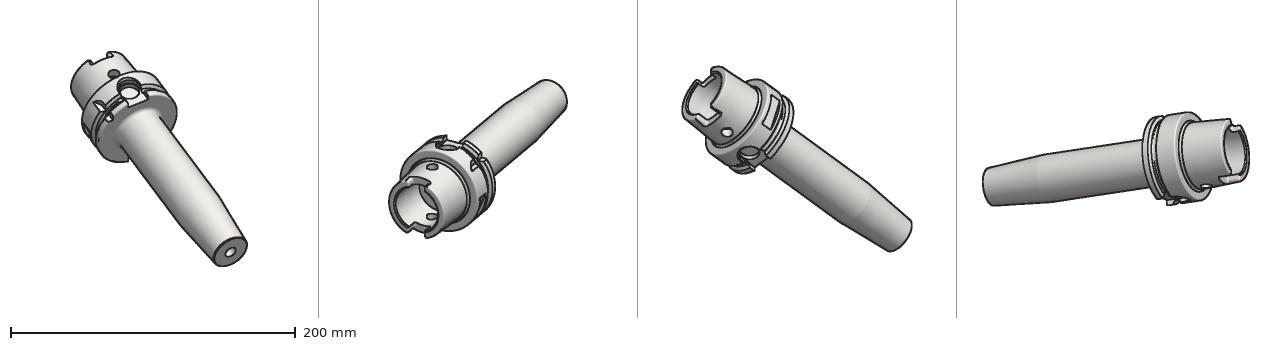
import cadquery as cq
import math


SHANK_LENGTH = 32.0
SHANK_ROOT_RADIUS = 24.0
SHANK_TAPER_SLOPE = 0.05
SHANK_END_ROUND = 1.0
UNDERCUT_WIDTH = 1.8
UNDERCUT_DEPTH = 0.3
UNDERCUT_CORNER_RADIUS = 0.7
UNDERCUT_FACE_DEPTH = 0.3
UNDERCUT_FACE_RADIUS = 25.4

FLANGE_RADIUS = 31.5
FLANGE_LENGTH = 26.0
FLANGE_EDGE_ROUND = 1.1
GROOVE_CENTRE = 17.95
GROOVE_BOTTOM_RADIUS = 27.5
GROOVE_WIDTH = 3.6
GROOVE_CORNER_RADIUS = 0.9
GROOVE_FLARE_RADIUS = 28.9
GROOVE_FLARE_ANGLE = 30.0

NOSE_END = 160.0
NOSE_RADIUS = 17.0
NOSE_ROOT_FILLET = 3.0
NOSE_TIP_RADIUS = 13.5
NOSE_TAPER_ANGLE = 4.5
NOSE_TIP_CHAMFER = 0.5

CAVITY_RADIUS = 17.0
CAVITY_CHAMFER = 1.0
CAVITY_STRAIGHT_DEPTH = 13.0
CAVITY_FLOOR_RADIUS = 15.7
CAVITY_FLOOR_X = 0.0
TUBE_BORE_RADIUS = 9.0
TUBE_BORE_DEPTH = 12.0
THROUGH_RADIUS = 4.2
THROUGH_CHAMFER = 0.6

CROSS_HOLE_RADIUS = 4.0
CROSS_HOLE_X = -9.2

DRIVER_SLOT_WIDTH = 12.54
UPPER_SLOT_DEPTH = 6.2
LOWER_SLOT_DEPTH = 9.6
SLOT_FLOOR_FILLET = 1.3
SLOT_EDGE_FILLET = 1.2
SLOT_FLARE_RADIUS = 2.3

KEYWAY_RADIUS = 8.0
KEYWAY_CENTRE_X = 13.0
KEYWAY_FLOOR = 26.5
KEYWAY_CHAMFER = 1.0
KEYWAY_CHAMFER_DEPTH = 2.0
KEYWAY_HOLE_RADIUS = 7.1
KEYWAY_HOLE_DEPTH = 3.5

NOTCH_FLOOR_Z = 19.9
NOTCH_WALL_Y = -20.2
NOTCH_CUTTER_RADIUS = 9.0
NOTCH_CUTTER_X = 12.3

FLAT_START_X = 3.5
FLAT_END_X = 11.8
FLAT_DISTANCE = 28.9
FLAT_ANGLE = 21.5


def shank_radius(x):
    """Outer radius of the taper shank at axial position x."""
    return SHANK_ROOT_RADIUS + SHANK_TAPER_SLOPE * x


def revolve_profile(profile):
    """Revolve a closed (x, radius) profile about the X axis."""
    return profile.close().revolve(360, (0, 0, 0), (1, 0, 0))


def arc_middle(centre, radius, side_x, side_radius):
    """Middle point of a quarter arc, on the side of its centre given by the two signs."""
    offset = radius * math.sqrt(0.5)
    return (centre[0] + side_x * offset, centre[1] + side_radius * offset)


def outer_body():
    end_x = -SHANK_LENGTH
    round_end_x = end_x + SHANK_END_ROUND
    round_centre = (round_end_x, shank_radius(round_end_x) - SHANK_END_ROUND)
    relief_radius = shank_radius(-UNDERCUT_WIDTH) - UNDERCUT_DEPTH
    corner_centre = (UNDERCUT_FACE_DEPTH - UNDERCUT_CORNER_RADIUS, relief_radius + UNDERCUT_CORNER_RADIUS)

    edge_radius = FLANGE_RADIUS - FLANGE_EDGE_ROUND
    front_round_x = FLANGE_EDGE_ROUND
    back_round_x = FLANGE_LENGTH - FLANGE_EDGE_ROUND
    flare_slope = math.tan(math.radians(GROOVE_FLARE_ANGLE))
    flare_width = (FLANGE_RADIUS - GROOVE_FLARE_RADIUS) * flare_slope
    groove_start = GROOVE_CENTRE - GROOVE_WIDTH / 2
    groove_end = GROOVE_CENTRE + GROOVE_WIDTH / 2
    groove_corner_radius = GROOVE_BOTTOM_RADIUS + GROOVE_CORNER_RADIUS
    bottom_start = groove_start + GROOVE_CORNER_RADIUS
    bottom_end = groove_end - GROOVE_CORNER_RADIUS

    root_centre = (FLANGE_LENGTH + NOSE_ROOT_FILLET, NOSE_RADIUS + NOSE_ROOT_FILLET)
    taper_slope = math.tan(math.radians(NOSE_TAPER_ANGLE))
    taper_start = NOSE_END - (NOSE_RADIUS - NOSE_TIP_RADIUS) / taper_slope

    profile = (
        cq.Workplane("XY")
        .moveTo(end_x, 0)
        .lineTo(end_x, round_centre[1])
        .threePointArc(
            arc_middle(round_centre, SHANK_END_ROUND, -1, 1),
            (round_end_x, shank_radius(round_end_x)),
        )
        .lineTo(-UNDERCUT_WIDTH, shank_radius(-UNDERCUT_WIDTH))
        .lineTo(-UNDERCUT_WIDTH + UNDERCUT_DEPTH, relief_radius)
        .lineTo(corner_centre[0], relief_radius)
        .threePointArc(
            arc_middle(corner_centre, UNDERCUT_CORNER_RADIUS, 1, -1),
            (UNDERCUT_FACE_DEPTH, corner_centre[1]),
        )
        .lineTo(UNDERCUT_FACE_DEPTH, UNDERCUT_FACE_RADIUS - UNDERCUT_FACE_DEPTH)
        .lineTo(0, UNDERCUT_FACE_RADIUS)
        .lineTo(0, edge_radius)
        .threePointArc(
            arc_middle((front_round_x, edge_radius), FLANGE_EDGE_ROUND, -1, 1),
            (front_round_x, FLANGE_RADIUS),
        )
        .lineTo(groove_start - flare_width, FLANGE_RADIUS)
        .lineTo(groove_start, GROOVE_FLARE_RADIUS)
        .lineTo(groove_start, groove_corner_radius)
        .threePointArc(
            arc_middle((bottom_start, groove_corner_radius), GROOVE_CORNER_RADIUS, -1, -1),
            (bottom_start, GROOVE_BOTTOM_RADIUS),
        )
        .lineTo(bottom_end, GROOVE_BOTTOM_RADIUS)
        .threePointArc(
            arc_middle((bottom_end, groove_corner_radius), GROOVE_CORNER_RADIUS, 1, -1),
            (groove_end, groove_corner_radius),
        )
        .lineTo(groove_end, GROOVE_FLARE_RADIUS)
        .lineTo(groove_end + flare_width, FLANGE_RADIUS)
        .lineTo(back_round_x, FLANGE_RADIUS)
        .threePointArc(
            arc_middle((back_round_x, edge_radius), FLANGE_EDGE_ROUND, 1, 1),
            (FLANGE_LENGTH, edge_radius),
        )
        .lineTo(FLANGE_LENGTH, root_centre[1])
        .threePointArc(
            arc_middle(root_centre, NOSE_ROOT_FILLET, -1, -1),
            (root_centre[0], NOSE_RADIUS),
        )
        .lineTo(taper_start, NOSE_RADIUS)
        .lineTo(NOSE_END - NOSE_TIP_CHAMFER, NOSE_TIP_RADIUS + NOSE_TIP_CHAMFER * taper_slope)
        .lineTo(NOSE_END, NOSE_TIP_RADIUS - NOSE_TIP_CHAMFER)
        .lineTo(NOSE_END, 0)
    )
    return revolve_profile(profile)


def inner_bores():
    tube_floor = CAVITY_FLOOR_X + TUBE_BORE_DEPTH
    profile = (
        cq.Workplane("XY")
        .moveTo(-SHANK_LENGTH, 0)
        .lineTo(-SHANK_LENGTH, CAVITY_RADIUS + CAVITY_CHAMFER)
        .lineTo(-SHANK_LENGTH + CAVITY_CHAMFER, CAVITY_RADIUS)
        .lineTo(-SHANK_LENGTH + CAVITY_STRAIGHT_DEPTH, CAVITY_RADIUS)
        .lineTo(CAVITY_FLOOR_X, CAVITY_FLOOR_RADIUS)
        .lineTo(CAVITY_FLOOR_X, TUBE_BORE_RADIUS)
        .lineTo(tube_floor, TUBE_BORE_RADIUS)
        .lineTo(tube_floor, THROUGH_RADIUS + THROUGH_CHAMFER)
        .lineTo(tube_floor + THROUGH_CHAMFER, THROUGH_RADIUS)
        .lineTo(NOSE_END, THROUGH_RADIUS)
        .lineTo(NOSE_END, 0)
    )
    return revolve_profile(profile)


def cross_hole():
    return (
        cq.Workplane("XY")
        .center(CROSS_HOLE_X, 0)
        .circle(CROSS_HOLE_RADIUS)
        .extrude(FLANGE_RADIUS, both=True)
    )


def round_side_edges(body, plane_x, margin, reach, radius):
    """Round the slot side edges lying in the plane X = plane_x, within reach of the slot middle.

    The rounding follows tangent edges beyond that reach.
    """
    zone = cq.selectors.BoxSelector(
        (plane_x - margin, -reach, 0),
        (plane_x + margin, reach, FLANGE_RADIUS),
    )
    return body.edges(zone).edges("not(|X or |Y)").fillet(radius)


def driver_slot(depth):
    """Slot across the +Z side of the shank end.

    The sides flare tangentially into the outer surface. They are rounded at the floor and
    at the end face.
    """
    end_x = -SHANK_LENGTH
    half_width = DRIVER_SLOT_WIDTH / 2
    outer_radius = shank_radius(end_x + depth)
    flare_y = half_width + SLOT_FLARE_RADIUS
    flare_z = math.sqrt((outer_radius - SLOT_FLARE_RADIUS) ** 2 - flare_y**2)
    tangent_scale = outer_radius / (outer_radius - SLOT_FLARE_RADIUS)
    mouth_y = flare_y * tangent_scale
    mouth_z = flare_z * tangent_scale
    tip_y = FLANGE_RADIUS
    tip_z = mouth_z - (tip_y - mouth_y) * mouth_y / mouth_z

    sides = (
        cq.Workplane("YZ", origin=(end_x, 0, 0))
        .moveTo(-half_width, 0)
        .lineTo(-half_width, flare_z)
        .radiusArc((-mouth_y, mouth_z), -SLOT_FLARE_RADIUS)
        .lineTo(-tip_y, tip_z)
        .lineTo(-tip_y, FLANGE_RADIUS)
        .lineTo(tip_y, FLANGE_RADIUS)
        .lineTo(tip_y, tip_z)
        .lineTo(mouth_y, mouth_z)
        .radiusArc((half_width, flare_z), -SLOT_FLARE_RADIUS)
        .lineTo(half_width, 0)
        .close()
        .extrude(depth)
    )
    blank = cq.Workplane("YZ", origin=(end_x, 0, FLANGE_RADIUS / 2)).rect(2 * tip_y, FLANGE_RADIUS)
    blank = blank.extrude(2 * depth)
    slotted = blank.cut(sides)
    slotted = round_side_edges(slotted, end_x + depth, depth / 2, flare_y, SLOT_FLOOR_FILLET)
    slotted = round_side_edges(slotted, end_x, depth / 2, flare_y, SLOT_EDGE_FILLET)
    return blank.cut(slotted)


def keyway():
    """Round-ended keyway on the +Z side, open towards the nose, with a round recess in its floor."""
    height = FLANGE_RADIUS - KEYWAY_FLOOR
    open_length = FLANGE_LENGTH - KEYWAY_CENTRE_X
    floor = cq.Workplane("XY", origin=(KEYWAY_CENTRE_X, 0, KEYWAY_FLOOR))
    round_end = floor.circle(KEYWAY_RADIUS).extrude(height)
    straight = floor.rect(open_length, 2 * KEYWAY_RADIUS).extrude(height)
    straight = straight.translate((open_length / 2, 0, 0))
    recess = floor.circle(KEYWAY_HOLE_RADIUS).extrude(-KEYWAY_HOLE_DEPTH)
    rim = (
        cq.Workplane("XY", origin=(KEYWAY_CENTRE_X, 0, FLANGE_RADIUS - KEYWAY_CHAMFER_DEPTH))
        .circle(KEYWAY_RADIUS)
        .workplane(offset=KEYWAY_CHAMFER_DEPTH)
        .circle(KEYWAY_RADIUS + KEYWAY_CHAMFER)
        .loft()
    )
    return round_end.union(straight).union(recess).union(rim)


def orientation_notch():
    """Square corner notch whose blind end is rounded about a Z-parallel axis."""
    outer_y = NOTCH_WALL_Y - NOTCH_CUTTER_RADIUS
    floor = cq.Workplane("XY", origin=(0, 0, NOTCH_FLOOR_Z))
    straight = (
        floor.moveTo(NOTCH_CUTTER_X, NOTCH_WALL_Y)
        .lineTo(FLANGE_LENGTH, NOTCH_WALL_Y)
        .lineTo(FLANGE_LENGTH, outer_y)
        .lineTo(NOTCH_CUTTER_X - NOTCH_CUTTER_RADIUS, outer_y)
        .radiusArc((NOTCH_CUTTER_X, NOTCH_WALL_Y), NOTCH_CUTTER_RADIUS)
        .close()
    )
    return straight.extrude(FLANGE_RADIUS - NOTCH_FLOOR_Z)


def label_flat():
    """Flat on the flange, facing -Y and turned downwards about the axis."""
    length = FLAT_END_X - FLAT_START_X
    depth = FLANGE_RADIUS - FLAT_DISTANCE
    block = cq.Workplane("XY").box(length, depth, 2 * FLANGE_RADIUS)
    block = block.translate((FLAT_START_X + length / 2, -FLAT_DISTANCE - depth / 2, 0))
    return block.rotate((0, 0, 0), (1, 0, 0), FLAT_ANGLE)


def build():
    body = outer_body().cut(inner_bores()).cut(cross_hole())
    body = body.cut(driver_slot(UPPER_SLOT_DEPTH))
    body = body.cut(driver_slot(LOWER_SLOT_DEPTH).mirror("XY"))
    upper_keyway = keyway()
    body = body.cut(upper_keyway).cut(upper_keyway.mirror("XY"))
    return body.cut(orientation_notch()).cut(label_flat())


result = build().solids()